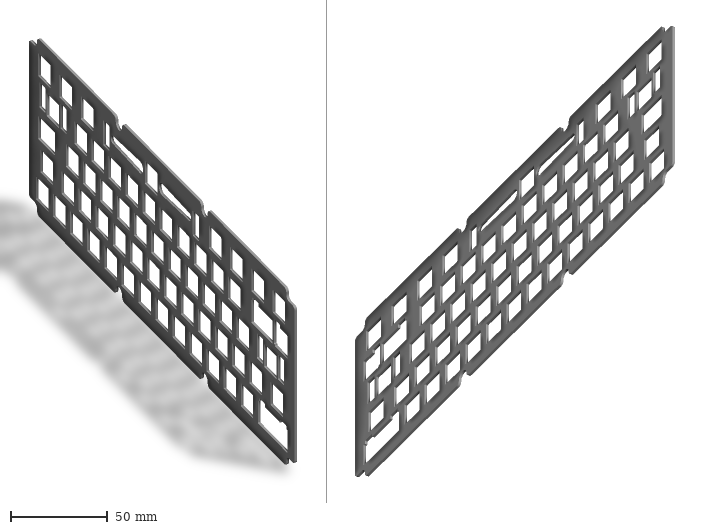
import cadquery as cq
import math


PLATE_WIDTH = 296.7
PLATE_HEIGHT = 107.7
PLATE_THICKNESS = 1.5
SIDE_CORNER_RADIUS = 2.0

STEP_WIDTH = 9.2
STEP_FILLET = 3.0
NOTCH_DEPTH = 6.2
NOTCH_RADIUS = 3.5
NOTCH_X = 47.8
LIP_RADIUS = 2.5

BOTTOM_ROW_LENGTH = 266.7
BOTTOM_ROW_PITCHES = 14
PITCH = BOTTOM_ROW_LENGTH / BOTTOM_ROW_PITCHES
STEPS_PER_PITCH = 8
KEY_STEP = PITCH / STEPS_PER_PITCH
SWITCH_SIZE = 14.0
WINDOW_RADIUS = 0.5

STAB_WIDTH = 6.8
STAB_HEIGHT = 15.0
STAB_RISE = 1.5
SHORT_STAB_SPACING = 23.7
SPACE_STAB_SPACING = 100.0

SLOT_NEAR_END = 9.0
SLOT_FAR_END = 44.8
SLOT_NEAR_RADIUS = 3.5
SLOT_FAR_RADIUS = 2.5

SPACE_KEY = -5
SPACE_ROW = 2


ARC_MIDDLE = math.cos(math.pi / 4)


def key_run(first, count):
    """Positions of neighbouring keys, one pitch apart."""
    return [first + step * STEPS_PER_PITCH for step in range(count)]


KEY_ROWS = {
    2: [-55, -45, -35, SPACE_KEY, 25, 35, 45, 55],
    1: [-51] + key_run(-38, 10) + [45, 49, 56],
    0: [-55, -53] + key_run(-42, 11) + [51],
    -1: [-54] + key_run(-44, 12) + [54],
    -2: key_run(-56, 13) + [48, 52, 56],
}

SHORT_STAB_KEYS = [(1, -51), (1, 49), (0, 51), (-2, 52)]


def prism(sketch):
    """Solid through the sheet, centred on its thickness."""
    return sketch.extrude(PLATE_THICKNESS / 2, both=True)


def rounded_box(x, z, width, height, radius):
    sharp = prism(cq.Workplane("XZ").center(x, z).rect(width, height))
    return sharp.edges("|Y").fillet(radius)


def edge_notch(x, side):
    """Round-bottomed notch with flared lips; side is 1 for the top edge, -1 for the bottom."""
    edge = side * PLATE_HEIGHT / 2
    bottom = edge - side * NOTCH_DEPTH
    lip_end = edge - side * LIP_RADIUS
    mouth = NOTCH_RADIUS + LIP_RADIUS
    lip_mid_x = mouth - LIP_RADIUS * ARC_MIDDLE
    lip_mid_z = lip_end + side * LIP_RADIUS * ARC_MIDDLE
    return prism(
        cq.Workplane("XZ")
        .moveTo(x - mouth, edge)
        .threePointArc((x - lip_mid_x, lip_mid_z), (x - NOTCH_RADIUS, lip_end))
        .threePointArc((x, bottom), (x + NOTCH_RADIUS, lip_end))
        .threePointArc((x + lip_mid_x, lip_mid_z), (x + mouth, edge))
        .close()
    )


def blank():
    """Sheet with rounded corner steps."""
    side_height = PLATE_HEIGHT - 2 * NOTCH_DEPTH
    middle_width = PLATE_WIDTH - 2 * STEP_WIDTH
    sides = rounded_box(0, 0, PLATE_WIDTH, side_height, SIDE_CORNER_RADIUS)
    middle = rounded_box(0, 0, middle_width, PLATE_HEIGHT, LIP_RADIUS)
    reach_x = (middle_width + PLATE_WIDTH) / 4
    reach_z = (side_height + PLATE_HEIGHT) / 4
    inner_corners = cq.selectors.BoxSelector(
        (-reach_x, -PLATE_THICKNESS, -reach_z),
        (reach_x, PLATE_THICKNESS, reach_z),
    )
    return sides.union(middle).edges("|Y").edges(inner_corners).fillet(STEP_FILLET)


def switch_openings():
    """One square per key position; overlapping squares merge into wider openings."""
    return [
        rounded_box(key * KEY_STEP, row * PITCH, SWITCH_SIZE, SWITCH_SIZE, WINDOW_RADIUS)
        for row, keys in KEY_ROWS.items()
        for key in keys
    ]


def stab_pair(row, key, spacing, rise):
    """Two windows either side of a key, shifted up from its centre by rise."""
    centre = key * KEY_STEP
    return [
        rounded_box(x, row * PITCH + rise, STAB_WIDTH, STAB_HEIGHT, WINDOW_RADIUS)
        for x in (centre - spacing / 2, centre + spacing / 2)
    ]


def tapered_slot(side):
    """Outline tangent to a wide round end near the switch and a narrow one away from it."""
    near = SLOT_NEAR_END + SLOT_NEAR_RADIUS
    far = SLOT_FAR_END - SLOT_FAR_RADIUS
    tilt = (SLOT_NEAR_RADIUS - SLOT_FAR_RADIUS) / (far - near)
    rise = math.sqrt(1 - tilt**2)
    near_x = side * (near + SLOT_NEAR_RADIUS * tilt)
    near_z = SLOT_NEAR_RADIUS * rise
    far_x = side * (far + SLOT_FAR_RADIUS * tilt)
    far_z = SLOT_FAR_RADIUS * rise
    return prism(
        cq.Workplane("XZ")
        .center(SPACE_KEY * KEY_STEP, SPACE_ROW * PITCH)
        .moveTo(near_x, near_z)
        .lineTo(far_x, far_z)
        .threePointArc((side * SLOT_FAR_END, 0), (far_x, -far_z))
        .lineTo(near_x, -near_z)
        .threePointArc((side * SLOT_NEAR_END, 0), (near_x, near_z))
        .close()
    )


cutters = switch_openings()
cutters += stab_pair(SPACE_ROW, SPACE_KEY, SPACE_STAB_SPACING, -STAB_RISE)
for stab_row, stab_key in SHORT_STAB_KEYS:
    cutters += stab_pair(stab_row, stab_key, SHORT_STAB_SPACING, STAB_RISE)
for direction in (-1, 1):
    cutters.append(tapered_slot(direction))
    for notch_side in (-1, 1):
        cutters.append(edge_notch(direction * NOTCH_X, notch_side))

result = cq.Workplane(blank().val().cut(*[cutter.val() for cutter in cutters]))